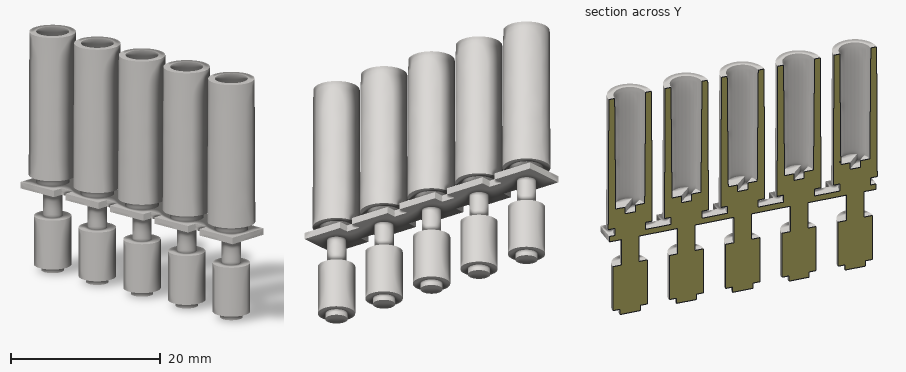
import cadquery as cq

screw_count = 5
pitch = 8.1

collar_bottom = 0.8
collar_top = 7.6
plate_bottom = 11.4
plate_top = 12.3
sleeve_bottom = 13.3
total_height = 33.2
bore_floor = 16.3

tip_diameter = 3.0
collar_diameter = 5.0
shank_diameter = 2.6
neck_diameter = 4.5
sleeve_bottom_diameter = 6.4
sleeve_top_diameter = 6.2
bore_floor_diameter = 4.1
bore_mouth_diameter = 4.4

slot_width = 1.0
slot_depth = 1.0
slot_angle = 45

pad_size = 6.05
bridge_width = 3.0


def frustum(bottom, top, bottom_diameter, top_diameter):
    """Round section about the Z axis whose diameter may change with height."""
    return (
        cq.Workplane("XZ")
        .moveTo(0, bottom)
        .lineTo(bottom_diameter / 2, bottom)
        .lineTo(top_diameter / 2, top)
        .lineTo(0, top)
        .close()
        .revolve(360, (0, 0, 0), (0, 1, 0))
    )


def cylinder(bottom, top, diameter):
    return frustum(bottom, top, diameter, diameter)


def make_driver_slot():
    """Prism as wide as the slot, trimmed to the round screw head."""
    slot_bottom = bore_floor - slot_depth
    blade = (
        cq.Workplane("XY")
        .workplane(offset=slot_bottom)
        .rect(bore_floor_diameter, slot_width)
        .extrude(slot_depth)
        .rotate((0, 0, 0), (0, 0, 1), slot_angle)
    )
    return blade.intersect(cylinder(slot_bottom, bore_floor, bore_floor_diameter))


def make_screw():
    """Stepped screw with a tapered, hollow sleeve around its slotted head."""
    screw = cylinder(0, collar_bottom, tip_diameter)
    screw = screw.union(cylinder(collar_bottom, collar_top, collar_diameter))
    screw = screw.union(cylinder(collar_top, plate_bottom, shank_diameter))
    screw = screw.union(cylinder(plate_bottom, sleeve_bottom, neck_diameter))
    screw = screw.union(
        frustum(sleeve_bottom, total_height, sleeve_bottom_diameter, sleeve_top_diameter)
    )
    screw = screw.cut(frustum(bore_floor, total_height, bore_floor_diameter, bore_mouth_diameter))
    return screw.cut(make_driver_slot())


def make_strip(positions):
    """Square pads, one per screw, joined by a narrower bridge."""
    thickness = plate_top - plate_bottom
    plane = cq.Workplane("XY").workplane(offset=plate_bottom)
    pads = plane.pushPoints(positions).rect(pad_size, pad_size).extrude(thickness)
    bridge = plane.rect((screw_count - 1) * pitch, bridge_width).extrude(thickness)
    return pads.union(bridge)


first_x = -(screw_count - 1) * pitch / 2
screw_positions = [(first_x + i * pitch, 0) for i in range(screw_count)]

result = make_strip(screw_positions)
screw = make_screw()
for x, y in screw_positions:
    result = result.union(screw.translate((x, y, 0)))